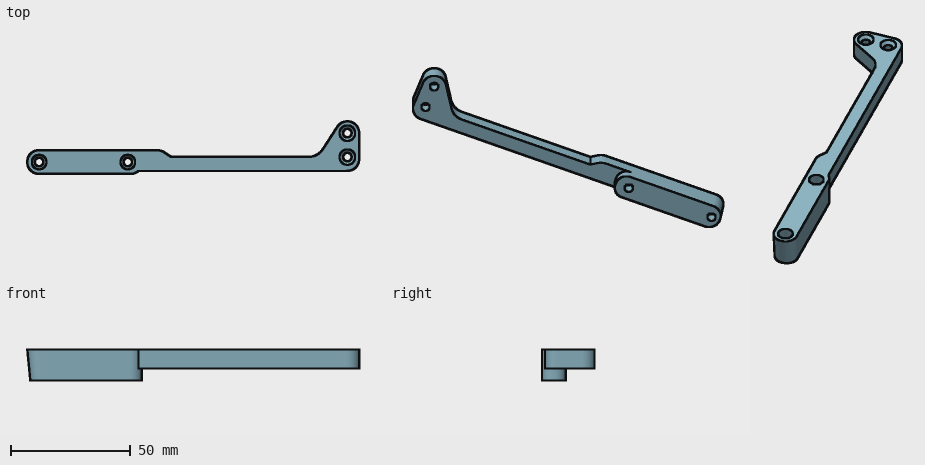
import cadquery as cq
import math

length = 138.5
top_z = 13.0

block_width = 10.0
block_right = 47.8
left_corner = 4.8
right_corner = 4.6
end_lean = 1.2

arm_start = 42.0
arm_bottom = 1.2
arm_width = 6.0
arm_thickness = 8.0
arm_top = arm_bottom + arm_width
shoulder_end = 55.8
shoulder_slope_angle = 33.5
shoulder_radius = 5.5

foot_radius = 5.0
foot_hole_spacing = 10.0
foot_x = length - foot_radius
foot_top = 22.0
foot_upper_y = foot_top - foot_radius
foot_slope_angle = 57.0
foot_inner_radius = 6.9

hole_diameter = 3.5
countersink_angle = 90
foot_head_diameter = 6.5
block_head_diameter = 6.1
block_head_depth = 5.0
end_screw_x = 5.0
block_screws = [(end_screw_x, block_width / 2), (arm_start, block_width / 2)]
foot_screws = [(foot_x, foot_upper_y - foot_hole_spacing), (foot_x, foot_upper_y)]


def make_block():
    side = [(0, top_z), (block_right, top_z), (block_right, 0), (end_lean, 0)]
    body = cq.Workplane("XZ").polyline(side).close().extrude(-block_width)
    body = body.edges("not (|X or |Y or |Z)").fillet(left_corner)
    return body.faces(">X").edges("|Z").fillet(right_corner)


def make_arm():
    shoulder_slope = math.radians(shoulder_slope_angle)
    foot_slope = math.radians(foot_slope_angle)

    shoulder_foot_x = shoulder_end + (block_width - arm_top) / math.tan(shoulder_slope)

    tangent_x = foot_x - foot_radius * math.sin(foot_slope)
    tangent_y = foot_upper_y + foot_radius * math.cos(foot_slope)
    slope_base_x = tangent_x - (tangent_y - arm_top) / math.tan(foot_slope)

    middle_angle = (math.pi / 2 + foot_slope) / 2
    round_middle = (
        foot_x + foot_radius * math.cos(middle_angle),
        foot_upper_y + foot_radius * math.sin(middle_angle),
    )

    arm = (
        cq.Workplane("XY", origin=(0, 0, top_z - arm_thickness))
        .moveTo(arm_start, arm_bottom)
        .lineTo(length, arm_bottom)
        .lineTo(length, foot_upper_y)
        .threePointArc(round_middle, (tangent_x, tangent_y))
        .lineTo(slope_base_x, arm_top)
        .lineTo(shoulder_foot_x, arm_top)
        .lineTo(shoulder_end, block_width)
        .lineTo(arm_start, block_width)
        .close()
        .extrude(arm_thickness)
    )

    def round_upright(body, x, y, radius):
        nearest = cq.NearestToPointSelector((x, y, top_z - arm_thickness / 2))
        return body.edges("|Z").edges(nearest).fillet(radius)

    arm = round_upright(arm, length, arm_bottom, foot_radius)
    arm = round_upright(arm, slope_base_x, arm_top, foot_inner_radius)
    return round_upright(arm, shoulder_end, block_width, shoulder_radius)


def cut_screw_holes(body, places, head_diameter, head_depth):
    """Drill a countersunk hole at each place, with a straight head recess above the cone."""
    top = cq.Workplane("XY", origin=(0, 0, top_z))
    floor = cq.Workplane("XY", origin=(0, 0, top_z - head_depth))
    if head_depth > 0:
        body = body.cut(top.pushPoints(places).circle(head_diameter / 2).extrude(-head_depth))
    return body.copyWorkplane(floor).pushPoints(places).cskHole(
        hole_diameter, head_diameter, countersink_angle
    )


result = make_block().union(make_arm())
result = cut_screw_holes(result, foot_screws, foot_head_diameter, 0)
result = cut_screw_holes(result, block_screws, block_head_diameter, block_head_depth)